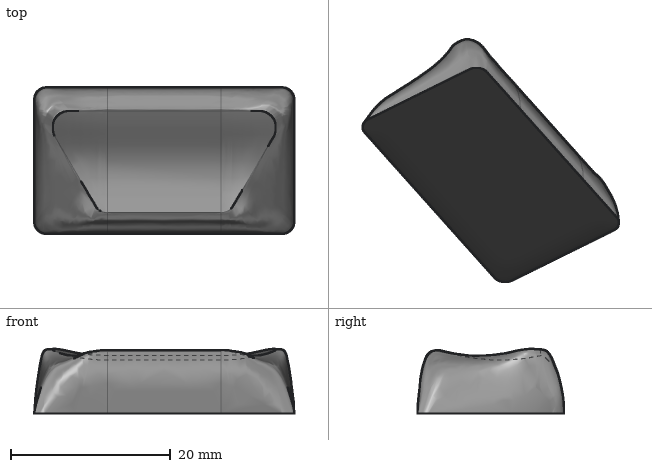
import cadquery as cq
import math

shapes = cq.occ_impl.shapes

length = 32.63
width = 18.4

middle_half = 7.13

rim_front = -6.49
rim_back = 6.22
dish_low_y = 1.17
dish_low_z = 6.7
dish_curve = 0.0214
end_axis_z = 27.8
end_swing = 25.0

base = (-width / 2, width / 2, length / 2, length / 2, 1.6, 1.6)
lower_wall = (-8.95, 8.93, 15.35, 16.15, 3.0, 1.9)
upper_wall = (-8.6, 8.2, 13.3, 16.1, 3.8, 2.2)
shoulder = (-7.95, 7.5, 10.3, 16.5, 2.2, 2.4)
crest = (-7.15, 6.8, 8.7, 16.1, 1.8, 2.4)
rim = (rim_front, rim_back, 8.15, 15.6, 1.5, 2.1)

lower_wall_z = 3.0
upper_wall_z = 5.6
shoulder_drop = 1.2
crest_drop = 0.3

rim_overrun = 1.0
wall_degree = 2
sew_tolerance = 0.01


def dish_profile_z(y):
    """Height of the dish in the middle stretch, extended past the rim."""
    return dish_low_z + dish_curve * (y - dish_low_y) ** 2


def dish_z(x, y):
    """Height of the dish surface, extended past the rim."""
    past_middle = max(abs(x) - middle_half, 0)
    swing_radius = end_axis_z - dish_profile_z(y)
    return end_axis_z - math.sqrt(swing_radius**2 - past_middle**2)


def dish_slope(x, y, direction):
    """Climb of the dish surface along a horizontal direction, on the right half."""
    past_middle = max(x - middle_half, 0)
    climb_x = past_middle / (end_axis_z - dish_z(x, y))
    profile_slope = 2 * dish_curve * (y - dish_low_y)
    climb_y = profile_slope * (end_axis_z - dish_profile_z(y)) / (end_axis_z - dish_z(x, y))
    return climb_x * direction.x + climb_y * direction.y


def rounded_corner(before, corner, after, radius):
    """Start, middle and end points of the arc that rounds a corner."""
    to_before = (before - corner).normalized()
    to_after = (after - corner).normalized()
    half_angle = to_before.getAngle(to_after) / 2
    tangent = radius / math.tan(half_angle)
    to_arc = radius / math.sin(half_angle) - radius
    inward = (to_before + to_after).normalized()
    return corner + to_before * tangent, corner + inward * to_arc, corner + to_after * tangent


def end_points(front, back, front_half, back_half, front_radius, back_radius):
    """Flat points and directions of the rounded trapezoid round the right end."""
    start = cq.Vector(middle_half, front)
    front_corner = cq.Vector(front_half, front)
    back_corner = cq.Vector(back_half, back)
    finish = cq.Vector(middle_half, back)
    front_arc = rounded_corner(start, front_corner, back_corner, front_radius)
    back_arc = rounded_corner(front_corner, back_corner, finish, back_radius)

    along_front = cq.Vector(1, 0)
    along_end = (back_corner - front_corner).normalized()
    along_back = cq.Vector(-1, 0)
    round_front = (along_front + along_end).normalized()
    round_back = (along_end + along_back).normalized()
    points = [start, *front_arc, *back_arc, finish]
    directions = [along_front, along_front, round_front, along_end]
    directions += [along_end, round_back, along_back, along_back]
    return points, directions


def closed_outline(right_end):
    """Outline from the curve round the right end, its mirror image and two straight sides."""
    left_end = right_end.mirror("YZ")
    start_side = cq.Edge.makeLine(left_end.startPoint(), right_end.startPoint())
    finish_side = cq.Edge.makeLine(right_end.endPoint(), left_end.endPoint())
    return cq.Wire.assembleEdges([start_side, right_end, finish_side, left_end])


def level_outline(trapezoid, z):
    """Outline at a constant height."""
    points, directions = end_points(*trapezoid)
    lifted = [p + cq.Vector(0, 0, z) for p in points]
    return closed_outline(cq.Edge.makeSpline(lifted, directions))


def dished_outline(trapezoid, drop):
    """Outline that follows the dish surface at a constant drop below it."""
    points, directions = end_points(*trapezoid)
    lifted = [cq.Vector(p.x, p.y, dish_z(p.x, p.y) - drop) for p in points]
    climbing = [d + cq.Vector(0, 0, dish_slope(p.x, p.y, d)) for p, d in zip(points, directions)]
    return closed_outline(cq.Edge.makeSpline(lifted, climbing))


def dish_profile(y_front, y_back):
    """Parabola across the dish at the right end of the middle stretch."""
    front_z = dish_profile_z(y_front)
    middle_y = (y_front + y_back) / 2
    front_slope = 2 * dish_curve * (y_front - dish_low_y)
    control_z = front_z + front_slope * (middle_y - y_front)
    return cq.Edge.makeBezier(
        [
            cq.Vector(middle_half, y_front, front_z),
            cq.Vector(middle_half, middle_y, control_z),
            cq.Vector(middle_half, y_back, dish_profile_z(y_back)),
        ]
    )


def make_dish_end():
    """Dish surface past the middle stretch on the right, trimmed to the rim."""
    swing_start = dish_profile(rim_front - rim_overrun, rim_back + rim_overrun)
    axis_point = cq.Vector(middle_half, 0, end_axis_z)
    swung = shapes.revolve(swing_start, axis_point, cq.Vector(0, -1, 0), end_swing)

    points, directions = end_points(*rim)
    rim_curve = cq.Edge.makeSpline(points, directions)
    closing_line = cq.Edge.makeLine(points[-1], points[0])
    rim_plan = cq.Wire.assembleEdges([rim_curve, closing_line])
    column = cq.Solid.extrudeLinear(rim_plan, [], cq.Vector(0, 0, end_axis_z))
    return swung.intersect(column).Faces()[0]


def make_shell():
    """Closed skin of the part: walls, the three stretches of the dish and the flat base."""
    right_dish = make_dish_end()
    left_dish = right_dish.mirror("YZ")
    right_profile = dish_profile(rim_front, rim_back)
    left_profile = right_profile.mirror("YZ")
    middle_dish = cq.Face.makeRuledSurface(left_profile, right_profile)

    rim_edge = max(right_dish.Edges(), key=lambda e: e.Center().x)
    base_outline = level_outline(base, 0)
    outlines = [
        base_outline,
        level_outline(lower_wall, lower_wall_z),
        level_outline(upper_wall, upper_wall_z),
        dished_outline(shoulder, shoulder_drop),
        dished_outline(crest, crest_drop),
        closed_outline(rim_edge),
    ]
    walls = shapes.loft(outlines, degree=wall_degree).Faces()
    floor = cq.Face.makeFromWires(base_outline)
    return shapes.shell(*walls, middle_dish, right_dish, left_dish, floor, tol=sew_tolerance)


result = cq.Workplane(obj=shapes.solid(make_shell()))